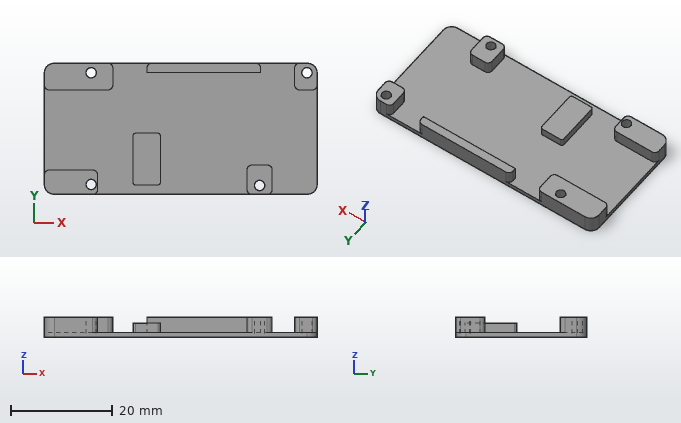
import cadquery as cq

PLATE_LENGTH = 54.08
PLATE_WIDTH = 25.97
PLATE_THICKNESS = 1.0
PLATE_CORNER_RADIUS = 2.0

OVERALL_HEIGHT = 4.0
BOSS_HEIGHT = OVERALL_HEIGHT - PLATE_THICKNESS
BOSS_CORNER_RADIUS = 1.0
BACK_BOSS_DEPTH = 5.3
BACK_LEFT_BOSS_LENGTH = 13.6
BACK_RIGHT_BOSS_LENGTH = 4.5
FRONT_LEFT_BOSS_LENGTH = 10.6
FRONT_LEFT_BOSS_DEPTH = 4.8
FRONT_RIGHT_BOSS_LEFT = 40.15
FRONT_RIGHT_BOSS_LENGTH = 5.0
FRONT_RIGHT_BOSS_DEPTH = 5.8

RAIL_LEFT = 20.35
RAIL_LENGTH = 22.5
RAIL_DEPTH = 1.8
RAIL_CORNER_RADIUS = 1.0

PAD_LEFT = 17.6
PAD_FRONT = 1.85
PAD_LENGTH = 5.4
PAD_DEPTH = 10.25
PAD_HEIGHT = 1.8
PAD_CORNER_RADIUS = 0.5

HOLE_DIAMETER = 2.0
BACK_HOLE_INSET = 1.9
LEFT_HOLE_X = 9.3
BACK_RIGHT_HOLE_X = PLATE_LENGTH - 2.05
FRONT_LEFT_HOLE_Y = 1.95
FRONT_RIGHT_HOLE_X = FRONT_RIGHT_BOSS_LEFT + FRONT_RIGHT_BOSS_LENGTH / 2
FRONT_RIGHT_HOLE_Y = 1.75


def block(left, front, length, depth, height, bottom):
    """Box placed by its left, front and bottom faces."""
    return cq.Workplane("XY").box(length, depth, height, centered=False).translate((left, front, bottom))


def make_plate(height):
    """Rounded plate outline, extruded up from the bottom face."""
    plate = block(0, 0, PLATE_LENGTH, PLATE_WIDTH, height, 0)
    return plate.edges("|Z").fillet(PLATE_CORNER_RADIUS)


def make_boss(left, front, length, depth):
    boss = block(left, front, length, depth, BOSS_HEIGHT, PLATE_THICKNESS)
    return boss.edges("|Z").fillet(BOSS_CORNER_RADIUS)


def make_bosses():
    back_boss_front = PLATE_WIDTH - BACK_BOSS_DEPTH
    back_right_boss_left = PLATE_LENGTH - BACK_RIGHT_BOSS_LENGTH
    bosses = make_boss(0, back_boss_front, BACK_LEFT_BOSS_LENGTH, BACK_BOSS_DEPTH)
    bosses = bosses.union(
        make_boss(back_right_boss_left, back_boss_front, BACK_RIGHT_BOSS_LENGTH, BACK_BOSS_DEPTH)
    )
    bosses = bosses.union(make_boss(0, 0, FRONT_LEFT_BOSS_LENGTH, FRONT_LEFT_BOSS_DEPTH))
    bosses = bosses.union(
        make_boss(FRONT_RIGHT_BOSS_LEFT, 0, FRONT_RIGHT_BOSS_LENGTH, FRONT_RIGHT_BOSS_DEPTH)
    )
    return bosses.intersect(make_plate(OVERALL_HEIGHT))


def make_rail():
    """Rail along the back edge, rounded at its two back corners only."""
    rail = block(RAIL_LEFT, PLATE_WIDTH - RAIL_DEPTH, RAIL_LENGTH, RAIL_DEPTH, BOSS_HEIGHT, PLATE_THICKNESS)
    return rail.faces(">Y").edges("|Z").fillet(RAIL_CORNER_RADIUS)


def make_pad():
    pad = block(PAD_LEFT, PAD_FRONT, PAD_LENGTH, PAD_DEPTH, PAD_HEIGHT, PLATE_THICKNESS)
    return pad.edges("|Z").fillet(PAD_CORNER_RADIUS)


def make_screw_holes():
    back_hole_y = PLATE_WIDTH - BACK_HOLE_INSET
    hole_centers = [
        (LEFT_HOLE_X, back_hole_y),
        (BACK_RIGHT_HOLE_X, back_hole_y),
        (LEFT_HOLE_X, FRONT_LEFT_HOLE_Y),
        (FRONT_RIGHT_HOLE_X, FRONT_RIGHT_HOLE_Y),
    ]
    return cq.Workplane("XY").pushPoints(hole_centers).circle(HOLE_DIAMETER / 2).extrude(OVERALL_HEIGHT)


result = make_plate(PLATE_THICKNESS)
result = result.union(make_bosses())
result = result.union(make_rail())
result = result.union(make_pad())
result = result.cut(make_screw_holes())